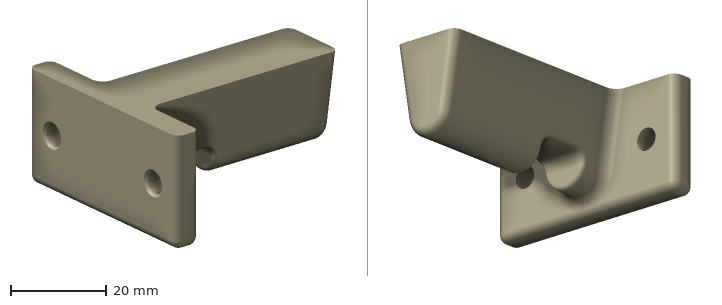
import cadquery as cq
import math

plate_width = 50.0
plate_thickness = 6.15
height = 26.0
plate_edge_radius = 2.0

overall_length = 56.8
arm_top_width = 16.6
arm_height = 22.05
side_draft = math.radians(9.2)
arm_end_radius = 2.0
root_radius = 2.7

notch_start = 13.05
notch_end = 25.95
notch_roof_depth = 14.55
notch_corner_radius = 3.0
notch_edge_radius = 0.95

hole_diameter = 5.1
hole_spacing = 33.95
hole_edge_chamfer = 0.5

margin = 0.05

arm_bottom = height - arm_height
notch_roof = height - notch_roof_depth


def make_plate():
    plate = cq.Workplane("XY").box(
        plate_width, plate_thickness, height, centered=(True, False, False)
    )
    plate = plate.edges("|Z").fillet(plate_edge_radius)
    return plate.faces("<Z").edges().fillet(plate_edge_radius)


def make_arm():
    half_top = arm_top_width / 2
    half_flat_bottom = half_top - arm_height * math.tan(side_draft)
    round_radius = half_flat_bottom * math.cos(side_draft) / (1 - math.sin(side_draft))
    tangent_x = round_radius * math.cos(side_draft)
    tangent_z = arm_bottom + round_radius * (1 - math.sin(side_draft))
    start = plate_thickness / 2
    arm = (
        cq.Workplane("XZ", origin=(0, start, 0))
        .moveTo(-half_top, height)
        .lineTo(half_top, height)
        .lineTo(tangent_x, tangent_z)
        .threePointArc((0, arm_bottom), (-tangent_x, tangent_z))
        .close()
        .extrude(start - overall_length)
    )
    return arm.faces(">Y").edges("not(>Z)").fillet(arm_end_radius)


def cut_notch(body):
    length = notch_end - notch_start
    cutter = (
        cq.Workplane("XY", origin=(0, notch_start, 0))
        .box(arm_top_width, length, notch_roof, centered=(True, False, False))
        .faces(">Z").edges("|X").fillet(notch_corner_radius)
    )
    rim_zone = cq.selectors.BoxSelector(
        (-arm_top_width, notch_start - margin, 0),
        (arm_top_width, notch_end + margin, notch_roof + margin),
    )
    body = body.cut(cutter)
    rims = body.edges(rim_zone).edges("not(|X)")
    return rims.fillet(notch_edge_radius)


def cut_holes(body):
    for x in (-hole_spacing / 2, hole_spacing / 2):
        hole = (
            cq.Workplane("XZ", origin=(x, 0, height / 2))
            .circle(hole_diameter / 2)
            .extrude(-plate_thickness)
        )
        countersink = cq.Workplane(
            cq.Solid.makeCone(
                hole_diameter / 2 + hole_edge_chamfer,
                hole_diameter / 2,
                hole_edge_chamfer,
                pnt=cq.Vector(x, 0, height / 2),
                dir=cq.Vector(0, 1, 0),
            )
        )
        body = body.cut(hole).cut(countersink)
    return body


body = make_plate().union(make_arm())
root_zone = cq.selectors.BoxSelector(
    (-arm_top_width, plate_thickness - margin, 0),
    (arm_top_width, plate_thickness + margin, height - margin),
)
body = body.edges(root_zone).fillet(root_radius)
result = cut_holes(cut_notch(body))